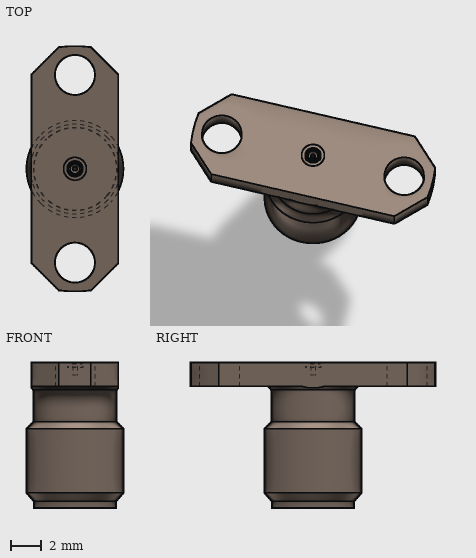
import cadquery as cq

flange_length = 15.98
flange_width = 5.65
flange_thickness = 1.55
corner_start_y = 6.14
mount_hole_diameter = 2.59
mount_hole_y = 6.1

root_radius = 2.92
neck_radius = 2.72
body_radius = 3.16
tip_radius = 2.68
neck_top_depth = 1.79
neck_bottom_depth = 3.87
body_bottom_depth = 8.49
tip_top_depth = 9.03
total_height = 9.48

insulator_diameter = 1.49
insulator_depth = 0.03
gap_diameter = 1.02
gap_depth = 0.32
contact_diameter = 0.86
contact_depth = 0.08
funnel_diameter = 0.64
bore_diameter = 0.29
bore_start_depth = 0.27
bore_end_depth = 0.8


def make_flange():
    """Plate with 45 degree corners and ends rounded about the part axis."""
    half_width = flange_width / 2
    plate = (
        cq.Workplane("XY")
        .circle(flange_length / 2)
        .extrude(-flange_thickness)
    )
    corner_tip_y = corner_start_y + half_width
    outline = [
        (half_width, corner_start_y),
        (0, corner_tip_y),
        (-half_width, corner_start_y),
        (-half_width, -corner_start_y),
        (0, -corner_tip_y),
        (half_width, -corner_start_y),
    ]
    bounds = cq.Workplane("XY").polyline(outline).close().extrude(-flange_thickness)
    holes = (
        cq.Workplane("XY")
        .pushPoints([(0, mount_hole_y), (0, -mount_hole_y)])
        .circle(mount_hole_diameter / 2)
        .extrude(-flange_thickness)
    )
    return plate.intersect(bounds).cut(holes)


def make_root():
    """Cone joining the neck to the flange, trimmed flush with the flange sides."""
    cone = (
        cq.Workplane("XZ")
        .moveTo(0, -flange_thickness)
        .lineTo(root_radius, -flange_thickness)
        .lineTo(neck_radius, -neck_top_depth)
        .lineTo(0, -neck_top_depth)
        .close()
        .revolve(360, (0, 0), (0, 1))
    )
    trim = cq.Workplane("XY").box(flange_width, flange_length, 2 * total_height)
    return cone.intersect(trim)


def make_body():
    """Neck, barrel with a cone at each end, and the short tip."""
    body_top_depth = neck_bottom_depth + (body_radius - neck_radius)
    return (
        cq.Workplane("XZ")
        .moveTo(0, -neck_top_depth)
        .lineTo(neck_radius, -neck_top_depth)
        .lineTo(neck_radius, -neck_bottom_depth)
        .lineTo(body_radius, -body_top_depth)
        .lineTo(body_radius, -body_bottom_depth)
        .lineTo(tip_radius, -tip_top_depth)
        .lineTo(tip_radius, -total_height)
        .lineTo(0, -total_height)
        .close()
        .revolve(360, (0, 0), (0, 1))
    )


def make_contact_recess():
    """Space above the insulator and contact, the gap between them, and the contact bore."""
    return (
        cq.Workplane("XZ")
        .moveTo(0, 0)
        .lineTo(insulator_diameter / 2, 0)
        .lineTo(insulator_diameter / 2, -insulator_depth)
        .lineTo(gap_diameter / 2, -insulator_depth)
        .lineTo(gap_diameter / 2, -gap_depth)
        .lineTo(contact_diameter / 2, -gap_depth)
        .lineTo(contact_diameter / 2, -contact_depth)
        .lineTo(funnel_diameter / 2, -contact_depth)
        .lineTo(bore_diameter / 2, -bore_start_depth)
        .lineTo(bore_diameter / 2, -bore_end_depth)
        .lineTo(0, -bore_end_depth)
        .close()
        .revolve(360, (0, 0), (0, 1))
    )


result = make_flange().union(make_root()).union(make_body()).cut(make_contact_recess())